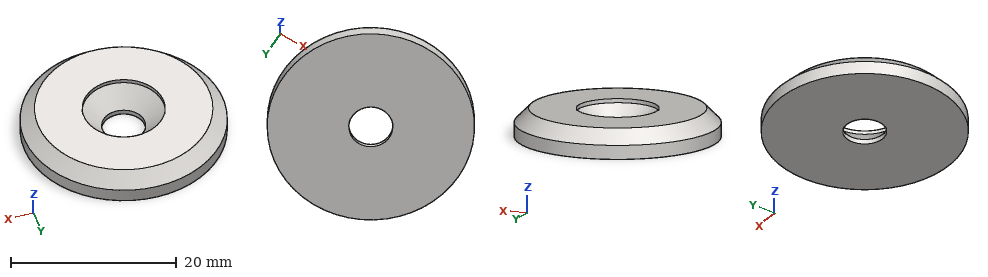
import cadquery as cq

outer_diameter = 25.0
thickness = 3.5
rim_chamfer = 1.75

hole_diameter = 5.3
head_diameter = 10.0
head_recess_depth = 0.5

outer_radius = outer_diameter / 2
hole_radius = hole_diameter / 2
head_radius = head_diameter / 2
cone_top = thickness - head_recess_depth
cone_bottom = cone_top - (head_radius - hole_radius)

half_section = [
    (hole_radius, 0),
    (outer_radius, 0),
    (outer_radius, thickness - rim_chamfer),
    (outer_radius - rim_chamfer, thickness),
    (head_radius, thickness),
    (head_radius, cone_top),
    (hole_radius, cone_bottom),
]

result = (
    cq.Workplane("XZ")
    .polyline(half_section)
    .close()
    .revolve(360, (0, 0, 0), (0, 1, 0))
)